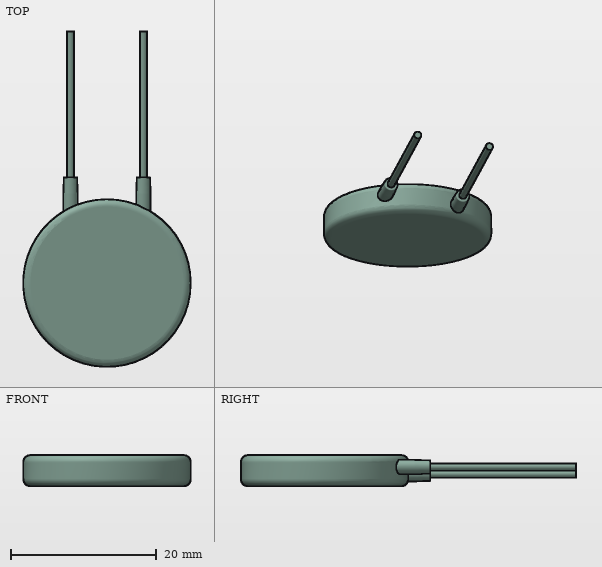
import cadquery as cq

BODY_DIAMETER = 23.0
BODY_THICKNESS = 4.3
BODY_EDGE_RADIUS = 1.0

LEAD_SPACING_X = 10.0
LEAD_SPACING_Z = 1.0
SLEEVE_DIAMETER = 2.0
SLEEVE_TIP_DIAMETER = 1.85
SLEEVE_TAPER_START_Y = 12.3
SLEEVE_END_Y = 14.5
SLEEVE_END_RADIUS = 0.1
WIRE_DIAMETER = 1.0
WIRE_LENGTH = 20.0

LEAD_ROOT_Y = 8.0


def make_body():
    """Disc with rounded top and bottom rims."""
    disc = cq.Workplane("XY").circle(BODY_DIAMETER / 2).extrude(BODY_THICKNESS / 2, both=True)
    return disc.faces("|Z").edges().fillet(BODY_EDGE_RADIUS)


def make_sleeve():
    """Sleeve around the Y axis: a cylinder, then a slight taper to a rounded tip."""
    profile = (
        cq.Workplane("XY")
        .moveTo(0, LEAD_ROOT_Y)
        .lineTo(SLEEVE_DIAMETER / 2, LEAD_ROOT_Y)
        .lineTo(SLEEVE_DIAMETER / 2, SLEEVE_TAPER_START_Y)
        .lineTo(SLEEVE_TIP_DIAMETER / 2, SLEEVE_END_Y)
        .lineTo(0, SLEEVE_END_Y)
        .close()
    )
    sleeve = profile.revolve(360, (0, 0, 0), (0, 1, 0))
    return sleeve.faces(">Y").edges().fillet(SLEEVE_END_RADIUS)


def make_wire():
    """Bare wire along the Y axis, from the lead root out past the sleeve."""
    wire_end_y = SLEEVE_END_Y + WIRE_LENGTH
    section = cq.Workplane("XZ", origin=(0, LEAD_ROOT_Y, 0)).circle(WIRE_DIAMETER / 2)
    return section.extrude(LEAD_ROOT_Y - wire_end_y)


lead = make_sleeve().union(make_wire())
result = make_body()
for side in (1, -1):
    lead_position = (side * LEAD_SPACING_X / 2, 0, side * LEAD_SPACING_Z / 2)
    result = result.union(lead.translate(lead_position))